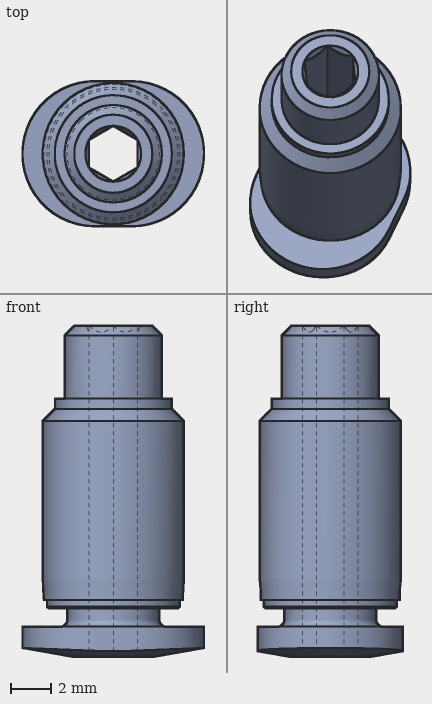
import cadquery as cq
import math

total_height = 16.4
flange_length = 9.0
flange_width = 7.2
flange_top = 1.5
flange_cone_angle = 10.0
flange_bottom_diameter = 4.05

neck_diameter = 4.58
neck_fillet = 0.33

body_bottom = 2.4
lower_ring_diameter = 6.6
lower_ring_chamfer = 0.1
lower_ring_top = 2.8
taper_bottom_diameter = 6.89
taper_top = 3.8
body_diameter = 7.0

collar_diameter = 5.8
collar_bottom = 12.28
collar_top = 12.8
tip_diameter = 4.82
tip_chamfer = 0.48

hex_across_flats = 2.4
hex_corner_diameter = hex_across_flats / math.cos(math.radians(30))
countersink_angle = 30.0


def make_flange():
    """Slotted-outline flange with a shallow conical underside."""
    outline = (
        cq.Workplane("XY")
        .slot2D(flange_length, flange_width)
        .extrude(flange_top)
    )
    bottom_radius = flange_bottom_diameter / 2
    rim_radius = flange_length
    cone_rise = (rim_radius - bottom_radius) * math.tan(math.radians(flange_cone_angle))
    cone = (
        cq.Workplane("XZ")
        .lineTo(bottom_radius, 0)
        .lineTo(rim_radius, cone_rise)
        .lineTo(rim_radius, total_height)
        .lineTo(0, total_height)
        .close()
        .revolve(360, (0, 0), (0, 1))
    )
    return outline.intersect(cone)


def make_turned_body():
    """Neck, stepped body, collar and chamfered tip as one revolved profile."""
    neck_radius = neck_diameter / 2
    ring_radius = lower_ring_diameter / 2
    body_radius = body_diameter / 2
    collar_radius = collar_diameter / 2
    tip_radius = tip_diameter / 2
    shoulder_chamfer = body_radius - collar_radius
    arc_inset = neck_fillet * (1 - math.sqrt(0.5))
    return (
        cq.Workplane("XZ")
        .moveTo(0, flange_top)
        .lineTo(neck_radius + neck_fillet, flange_top)
        .threePointArc(
            (neck_radius + arc_inset, flange_top + arc_inset),
            (neck_radius, flange_top + neck_fillet),
        )
        .lineTo(neck_radius, body_bottom)
        .lineTo(ring_radius - lower_ring_chamfer, body_bottom)
        .lineTo(ring_radius, body_bottom + lower_ring_chamfer)
        .lineTo(ring_radius, lower_ring_top)
        .lineTo(taper_bottom_diameter / 2, lower_ring_top)
        .lineTo(body_radius, taper_top)
        .lineTo(body_radius, collar_bottom - shoulder_chamfer)
        .lineTo(collar_radius, collar_bottom)
        .lineTo(collar_radius, collar_top)
        .lineTo(tip_radius, collar_top)
        .lineTo(tip_radius, total_height - tip_chamfer)
        .lineTo(tip_radius - tip_chamfer, total_height)
        .lineTo(0, total_height)
        .close()
        .revolve(360, (0, 0), (0, 1))
    )


def make_hex_hole():
    """Through hexagon with corners along Y and a conical lead-in at the tip."""
    hexagon = (
        cq.Workplane("XY")
        .transformed(rotate=(0, 0, 90))
        .polygon(6, hex_corner_diameter)
        .extrude(total_height)
    )
    mouth_radius = hex_corner_diameter / 2
    cone_depth = mouth_radius / math.tan(math.radians(countersink_angle))
    lead_in = cq.Workplane(
        cq.Solid.makeCone(0, mouth_radius, cone_depth, pnt=cq.Vector(0, 0, total_height - cone_depth))
    )
    return hexagon.union(lead_in)


result = make_flange().union(make_turned_body()).cut(make_hex_hole())